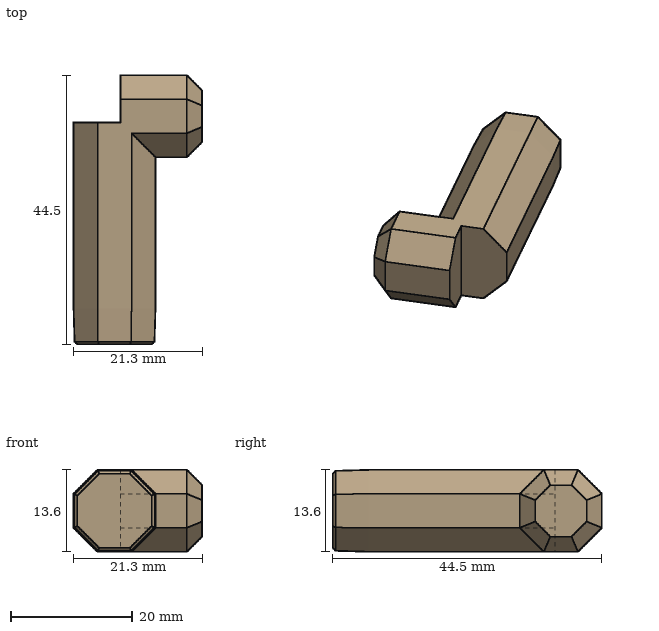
import cadquery as cq
import math

total_length = 44.5
total_width = 21.28
flats = 13.58
bar_length = 36.7
tip_length = 5.95
tip_inset = 0.2
tip_chamfer = 0.5
head_length = 13.55
head_chamfer = 2.55

head_center_y = total_length - flats / 2
head_end_x = total_width - flats / 2
head_start_x = head_end_x - head_length


def octagon(plane, across_flats):
    """Regular octagon with flats facing the plane's own axes."""
    corner_diameter = across_flats / math.cos(math.pi / 8)
    return (
        cq.Workplane(plane)
        .transformed(rotate=(0, 0, 22.5))
        .polygon(8, corner_diameter)
    )


def make_bar():
    """Octagonal bar along Y with a slightly tapered, chamfered tip."""
    shank_plane = cq.Plane(origin=(0, tip_length, 0), xDir=(1, 0, 0), normal=(0, 1, 0))
    tip_plane = cq.Plane(origin=(0, tip_length, 0), xDir=(1, 0, 0), normal=(0, -1, 0))
    taper_angle = math.degrees(math.atan(tip_inset / tip_length))

    shank = octagon(shank_plane, flats).extrude(bar_length - tip_length)
    tip = octagon(tip_plane, flats).extrude(tip_length, taper=taper_angle)
    tip = tip.faces("<Y").chamfer(tip_chamfer)
    return shank.union(tip)


def make_head():
    """Octagonal head along X with its outer end chamfered."""
    plane = cq.Plane(origin=(head_start_x, head_center_y, 0), xDir=(0, 1, 0), normal=(1, 0, 0))
    return octagon(plane, flats).extrude(head_length).faces(">X").chamfer(head_chamfer)


result = make_bar().union(make_head())